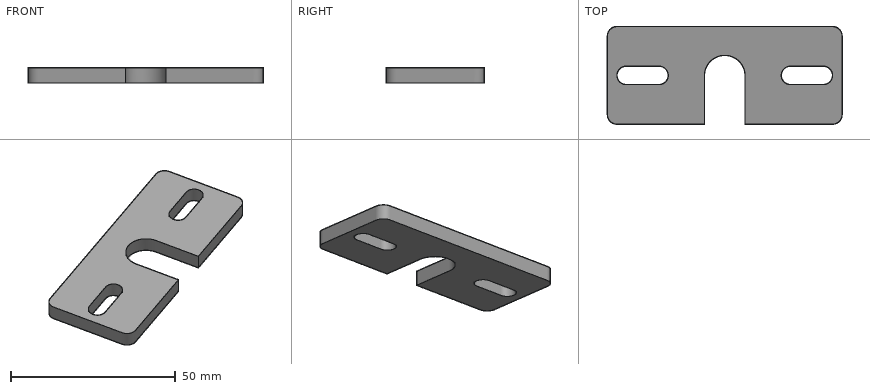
import cadquery as cq

plate_length = 71.6
plate_width = 29.85
plate_thickness = 4.7
corner_radius = 3.0

notch_width = 12.3
notch_depth = 21.0

slot_length = 15.55
slot_width = 5.5
slot_end_margin = 3.0

front_edge_y = -plate_width / 2
slot_center_x = plate_length / 2 - slot_end_margin - slot_length / 2


def make_plate():
    plate = cq.Workplane("XY").box(plate_length, plate_width, plate_thickness)
    return plate.edges("|Z").fillet(corner_radius)


def make_notch():
    half_width = notch_width / 2
    notch_top_y = front_edge_y + notch_depth
    arc_start_y = notch_top_y - half_width
    return (
        cq.Workplane("XY")
        .moveTo(-half_width, front_edge_y)
        .lineTo(-half_width, arc_start_y)
        .threePointArc((0, notch_top_y), (half_width, arc_start_y))
        .lineTo(half_width, front_edge_y)
        .close()
        .extrude(plate_thickness / 2, both=True)
    )


def make_slots():
    return (
        cq.Workplane("XY")
        .pushPoints([(side * slot_center_x, 0) for side in (-1, 1)])
        .slot2D(slot_length, slot_width)
        .extrude(plate_thickness / 2, both=True)
    )


result = make_plate().cut(make_notch()).cut(make_slots())